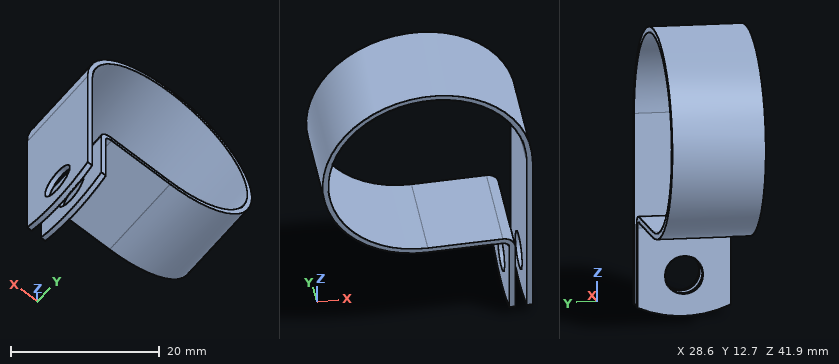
import cadquery as cq

total_height = 41.85
strip_width = 12.7
thickness = 0.8
loop_radius = 14.3
leg_gap = 1.6
bend_inner_radius = 0.9
hole_diameter = 5.2
hole_height = 5.6
tip_rise = 1.35

inner_radius = loop_radius - thickness
bend_outer_radius = bend_inner_radius + thickness
leg_bottom = loop_radius - total_height
short_leg_outer = inner_radius - leg_gap
short_leg_inner = short_leg_outer - thickness
bend_x = short_leg_outer - bend_outer_radius
bend_z = -inner_radius - bend_outer_radius
diagonal = 0.5 ** 0.5


def bend_midpoint(radius):
    """Middle of the quarter-circle bend between shelf and short leg."""
    return (bend_x + radius * diagonal, bend_z + radius * diagonal)


def loop_midpoint(radius):
    """Middle of the three-quarter loop, at its upper left."""
    return (-radius * diagonal, radius * diagonal)


def make_strip():
    """Bent strip with square leg ends, centred on the XZ plane."""
    return (
        cq.Workplane("XZ")
        .moveTo(loop_radius, leg_bottom)
        .lineTo(loop_radius, 0)
        .threePointArc(loop_midpoint(loop_radius), (0, -loop_radius))
        .lineTo(bend_x, -loop_radius)
        .threePointArc(bend_midpoint(bend_inner_radius), (short_leg_inner, bend_z))
        .lineTo(short_leg_inner, leg_bottom)
        .lineTo(short_leg_outer, leg_bottom)
        .lineTo(short_leg_outer, bend_z)
        .threePointArc(bend_midpoint(bend_outer_radius), (bend_x, -inner_radius))
        .lineTo(0, -inner_radius)
        .threePointArc(loop_midpoint(inner_radius), (inner_radius, 0))
        .lineTo(inner_radius, leg_bottom)
        .close()
        .extrude(strip_width / 2, both=True)
    )


def make_side_outline():
    """Block with the strip's side outline, rounded at the bottom."""
    half_width = strip_width / 2
    return (
        cq.Workplane("YZ")
        .moveTo(-half_width, loop_radius)
        .lineTo(-half_width, leg_bottom + tip_rise)
        .threePointArc((0, leg_bottom), (half_width, leg_bottom + tip_rise))
        .lineTo(half_width, loop_radius)
        .close()
        .extrude(loop_radius, both=True)
    )


def make_bolt_hole():
    """Cylinder along X that pierces both legs."""
    return (
        cq.Workplane("YZ")
        .center(0, leg_bottom + hole_height)
        .circle(hole_diameter / 2)
        .extrude(loop_radius)
    )


result = make_strip().intersect(make_side_outline()).cut(make_bolt_hole())